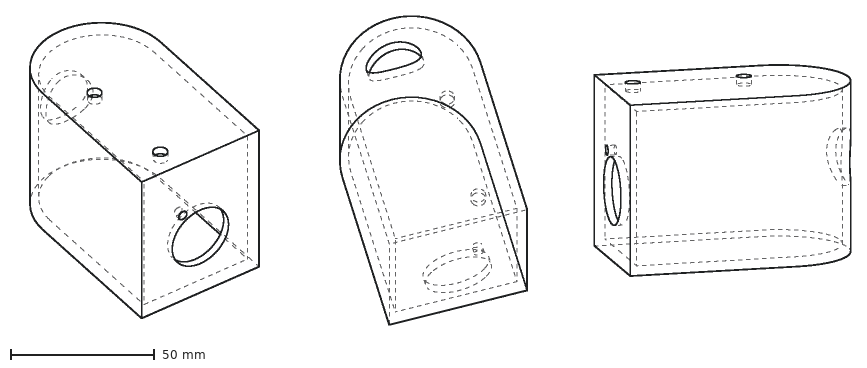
import cadquery as cq
import math

length = 85.0
width = 50.0
height = 61.0
plate = 3.0
wall = 3.0
nose_radius = width / 2

front_hole_diameter = 20.0
front_hole_z = 32.55

motor_hole_diameter = 24.0
motor_hole_z = 25.0
screw_hole_diameter = 3.4
screw_circle_radius = 15.0
screw_angle = 120.0

top_hole_diameter = 5.2
top_hole_y = -10.0
top_hole_xs = (35.0, 75.0)


def nose_block(inset, z_bottom, z_top):
    """D-shaped block with a half-round nose, inset from the outer faces."""
    radius = nose_radius - inset
    rear = length - inset
    return (
        cq.Workplane("XY", origin=(0, 0, z_bottom))
        .moveTo(rear, -radius)
        .lineTo(nose_radius, -radius)
        .threePointArc((inset, 0), (nose_radius, radius))
        .lineTo(rear, radius)
        .close()
        .extrude(z_top - z_bottom)
    )


def hole_along_x(diameter, x_start, x_end, y, z):
    """Round cutter running along X."""
    return (
        cq.Workplane("YZ", origin=(x_start, y, z))
        .circle(diameter / 2)
        .extrude(x_end - x_start)
    )


shell = nose_block(0, 0, height)
cavity = nose_block(wall, plate, height - plate)
housing = shell.cut(cavity)

housing = housing.cut(hole_along_x(front_hole_diameter, 0, nose_radius, 0, front_hole_z))

rear_start = length - 2 * wall
screw_y = screw_circle_radius * math.cos(math.radians(screw_angle))
screw_z = motor_hole_z + screw_circle_radius * math.sin(math.radians(screw_angle))
housing = housing.cut(hole_along_x(motor_hole_diameter, rear_start, length, 0, motor_hole_z))
housing = housing.cut(hole_along_x(screw_hole_diameter, rear_start, length, screw_y, screw_z))

for hole_x in top_hole_xs:
    top_hole = (
        cq.Workplane("XY", origin=(hole_x, top_hole_y, height - plate))
        .circle(top_hole_diameter / 2)
        .extrude(plate)
    )
    housing = housing.cut(top_hole)

result = housing